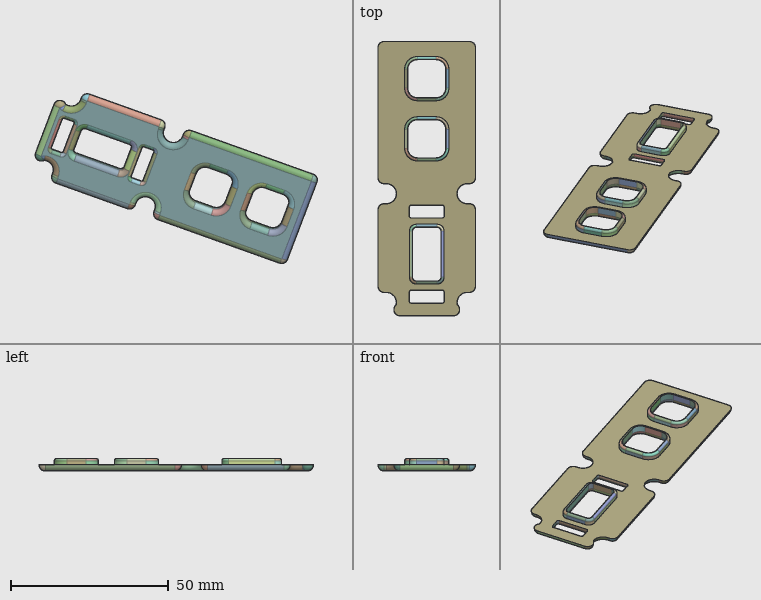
import cadquery as cq
import math

LENGTH = 87.1
HALF_LENGTH = LENGTH / 2
HALF_WIDTH = 15.5
THICKNESS = 2.0
CORNER_RADIUS = 2.0
EDGE_ROUND = 1.9

NOTCH_RADIUS = 3.1
NOTCH_CENTER_X = 12.8
NOTCH_Y = -4.8
SHOULDER_Y = -36.2
TAB_HALF_WIDTH = 10.45

RIM_HEIGHT = 2.0
RIM_ROUND = 0.8
SQUARE_SIZE = 14.0
SQUARE_OPENING = 12.0
RIM_WALL = (SQUARE_SIZE - SQUARE_OPENING) / 2
SQUARE_CORNER = 4.0
SQUARE_YS = (31.7, 12.6)
RECT_WIDTH = 11.0
RECT_LENGTH = 19.0
RECT_CORNER = 2.2
RECT_Y = -24.0

SLOT_WIDTH = RECT_WIDTH
SLOT_LENGTH = 4.0
SLOT_OFFSET = 13.5
SLOT_CORNER = 0.5

OPENING_ROUND = 1.8
SLOT_ROUND = 1.05


def circle_crossing(center_a, radius_a, center_b, radius_b):
    """Crossing point of two circles, on the left when going from center_a to center_b."""
    dx = center_b[0] - center_a[0]
    dy = center_b[1] - center_a[1]
    distance = math.hypot(dx, dy)
    along = (distance**2 + radius_a**2 - radius_b**2) / (2 * distance)
    aside = math.sqrt(radius_a**2 - along**2)
    return (
        center_a[0] + (along * dx - aside * dy) / distance,
        center_a[1] + (along * dy + aside * dx) / distance,
    )


def plate():
    """Notched plate with a narrow end tab and a rounded lower outer edge."""
    corner_x = HALF_WIDTH - CORNER_RADIUS
    notch_top = NOTCH_Y + NOTCH_RADIUS
    notch_bottom = NOTCH_Y - NOTCH_RADIUS
    shoulder_center = (NOTCH_CENTER_X, SHOULDER_Y - NOTCH_RADIUS)
    tab_center = (TAB_HALF_WIDTH - CORNER_RADIUS, -HALF_LENGTH + CORNER_RADIUS)
    tab_root = circle_crossing(tab_center, CORNER_RADIUS, shoulder_center, NOTCH_RADIUS)

    right_half = (
        cq.Workplane("XY")
        .moveTo(0, HALF_LENGTH)
        .lineTo(corner_x, HALF_LENGTH)
        .radiusArc((HALF_WIDTH, HALF_LENGTH - CORNER_RADIUS), CORNER_RADIUS)
        .lineTo(HALF_WIDTH, notch_top + CORNER_RADIUS)
        .radiusArc((corner_x, notch_top), CORNER_RADIUS)
        .lineTo(NOTCH_CENTER_X, notch_top)
        .threePointArc((NOTCH_CENTER_X - NOTCH_RADIUS, NOTCH_Y), (NOTCH_CENTER_X, notch_bottom))
        .lineTo(corner_x, notch_bottom)
        .radiusArc((HALF_WIDTH, notch_bottom - CORNER_RADIUS), CORNER_RADIUS)
        .lineTo(HALF_WIDTH, SHOULDER_Y + CORNER_RADIUS)
        .radiusArc((corner_x, SHOULDER_Y), CORNER_RADIUS)
        .lineTo(NOTCH_CENTER_X, SHOULDER_Y)
        .radiusArc(tab_root, -NOTCH_RADIUS)
        .radiusArc((TAB_HALF_WIDTH, tab_center[1]), CORNER_RADIUS)
        .radiusArc((tab_center[0], -HALF_LENGTH), CORNER_RADIUS)
        .lineTo(0, -HALF_LENGTH)
    )
    return right_half.mirrorY().extrude(THICKNESS).faces("<Z").edges().fillet(EDGE_ROUND)


def rounded_block(width, length, corner, height, y):
    """Upright block with rounded corners, standing on the bottom plane."""
    block = cq.Workplane("XY").center(0, y).rect(width, length).extrude(height)
    return block.edges("|Z").fillet(corner)


def cut_opening(body, width, length, corner, y, lower_round):
    """Cut an opening through everything, flared by a rounding where it meets the underside."""
    body = body.cut(rounded_block(width, length, corner, THICKNESS + RIM_HEIGHT, y))
    return body.edges(lower_edges(width, length, y)).fillet(lower_round)


def lower_edges(width, length, y):
    """Selector for the lowest edges of an opening."""
    margin = 0.1
    return cq.selectors.BoxSelector(
        (-width / 2 - margin, y - length / 2 - margin, -margin),
        (width / 2 + margin, y + length / 2 + margin, margin),
    )


def add_rimmed_opening(body, width, length, corner, y):
    """Add a rim with a rounded outer top edge and cut its opening through the plate."""
    top = THICKNESS + RIM_HEIGHT
    rim = rounded_block(width, length, corner, top, y).faces(">Z").edges().fillet(RIM_ROUND)
    inner_width = width - 2 * RIM_WALL
    inner_length = length - 2 * RIM_WALL
    inner_corner = corner - RIM_WALL
    return cut_opening(body.union(rim), inner_width, inner_length, inner_corner, y, OPENING_ROUND)


result = plate()

for square_y in SQUARE_YS:
    result = add_rimmed_opening(result, SQUARE_SIZE, SQUARE_SIZE, SQUARE_CORNER, square_y)
result = add_rimmed_opening(result, RECT_WIDTH, RECT_LENGTH, RECT_CORNER, RECT_Y)

for slot_y in (RECT_Y + SLOT_OFFSET, RECT_Y - SLOT_OFFSET):
    result = cut_opening(result, SLOT_WIDTH, SLOT_LENGTH, SLOT_CORNER, slot_y, SLOT_ROUND)